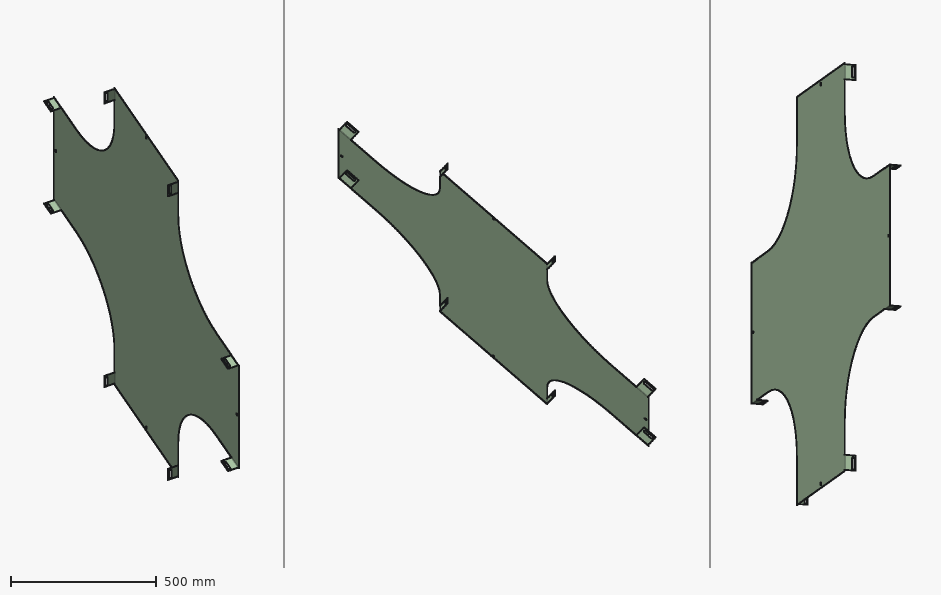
import cadquery as cq

SPAN = 1446.0
DEPTH = 40.07
ARM_WIDTH = 500.0
CORNER_RADIUS = 300.0
SHEET = 1.0
BEND_RADIUS = 1.5

TAB_LENGTH = 54.0
TAB_END_GAP = 4.0
TAB_SLOT_LENGTH = 42.0
TAB_SLOT_END_GAP = 4.0
TAB_SLOT_WIDTH = 8.0
TAB_SLOT_EDGE_GAP = 5.0

END_SLOT_WIDTH = 6.4
END_SLOT_LENGTH = 9.0
END_SLOT_INSET = 15.0

HALF_SPAN = SPAN / 2
HALF_ARM = ARM_WIDTH / 2
TAB_DEPTH = DEPTH - SHEET
TAB_CENTER = HALF_SPAN - TAB_END_GAP - TAB_LENGTH / 2
TAB_SLOT_X = HALF_SPAN - TAB_END_GAP - TAB_SLOT_END_GAP - TAB_SLOT_LENGTH / 2
TAB_SLOT_Y = -TAB_DEPTH + TAB_SLOT_EDGE_GAP + TAB_SLOT_WIDTH / 2
ARM_ANGLES = (0, 90, 180, 270)


def around_arms(shape):
    """Return one copy of a +X arm feature for each of the four arms."""
    return [shape.rotate((0, 0, 0), (0, 1, 0), angle) for angle in ARM_ANGLES]


def corner_cutout():
    """Block between the +X and +Z arms, rounded at its inner corner."""
    side = HALF_SPAN - HALF_ARM
    center = HALF_ARM + side / 2
    return (
        cq.Workplane("XY")
        .box(side, 2 * DEPTH, side)
        .edges("|Y and <X and <Z")
        .fillet(CORNER_RADIUS)
        .translate((center, 0, center))
    )


def cross_plate():
    plate = cq.Workplane("XY").box(SPAN, SHEET, SPAN).translate((0, SHEET / 2, 0))
    for cutout in around_arms(corner_cutout()):
        plate = plate.cut(cutout)
    return plate


def end_slot():
    """Cutter for the fixing slot at the end of the +X arm."""
    return (
        cq.Workplane("XZ")
        .center(HALF_SPAN - END_SLOT_INSET, 0)
        .slot2D(END_SLOT_LENGTH, END_SLOT_WIDTH)
        .extrude(DEPTH, both=True)
    )


def bend_notch():
    """Cutter that clears the plate edge where the upper tab of the +X arm bends down."""
    return (
        cq.Workplane("XY")
        .box(TAB_LENGTH, 2 * SHEET, 2 * BEND_RADIUS)
        .translate((TAB_CENTER, SHEET, HALF_ARM))
    )


def tab():
    """Slotted tab bent down from the upper edge of the +X arm."""
    bend_root = HALF_ARM - BEND_RADIUS
    bend_end = SHEET - BEND_RADIUS
    inner_radius = BEND_RADIUS - SHEET
    blank = (
        cq.Workplane("YZ", origin=(TAB_CENTER - TAB_LENGTH / 2, 0, 0))
        .moveTo(SHEET, bend_root)
        .radiusArc((bend_end, HALF_ARM), -BEND_RADIUS)
        .lineTo(SHEET - DEPTH, HALF_ARM)
        .lineTo(SHEET - DEPTH, HALF_ARM - SHEET)
        .lineTo(bend_end, HALF_ARM - SHEET)
        .radiusArc((0, bend_root), inner_radius)
        .close()
        .extrude(TAB_LENGTH)
    )
    slot = (
        cq.Workplane("XY")
        .center(TAB_SLOT_X, TAB_SLOT_Y)
        .slot2D(TAB_SLOT_LENGTH, TAB_SLOT_WIDTH)
        .extrude(SPAN, both=True)
    )
    return blank.cut(slot)


result = cross_plate()
for feature in (end_slot(), bend_notch(), bend_notch().mirror("XY")):
    for cutter in around_arms(feature):
        result = result.cut(cutter)
for feature in (tab(), tab().mirror("XY")):
    for arm_tab in around_arms(feature):
        result = result.union(arm_tab)